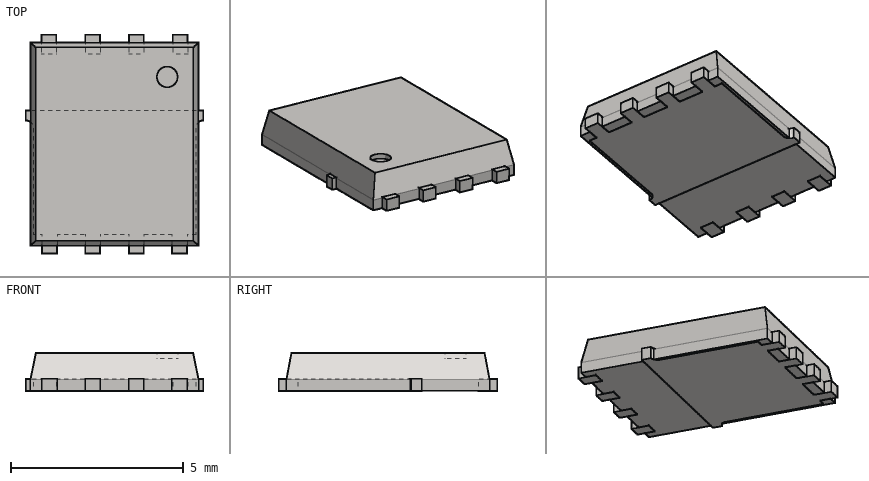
import cadquery as cq

overall_width = 5.15
overall_length = 6.35
overall_height = 1.11

housing_width = 4.88
housing_length = 5.9
housing_standoff = 0.01
ledge_height = 0.345
top_width = 4.57
top_length = 5.61

mark_diameter = 0.6
mark_depth = 0.15
mark_x = 1.53
mark_y = 1.95

metal_thickness = 0.36
lead_width = 0.44
lead_pitch = 1.27
lead_xs = [(i - 1.5) * lead_pitch for i in range(4)]
lead_inner_y = 2.62
lead_length = overall_length / 2 - lead_inner_y

pad_outer_lead_shift = 0.02
tab_front_y = 0.68
tab_back_y = 0.98
tab_fillet_radius = 0.2
tab_straight_tip = 0.02
pad_width = overall_width - 2 * (tab_straight_tip + tab_fillet_radius)


def block(width, length, x_centre, y_start):
    """Flat metal block on Z = 0, running toward +Y from y_start."""
    return (
        cq.Workplane("XY")
        .center(x_centre, y_start + length / 2)
        .rect(width, length)
        .extrude(metal_thickness)
    )


def make_lead(x_centre):
    """Separate lead on the +Y side."""
    return block(lead_width, lead_length, x_centre, lead_inner_y)


def make_drain_pad():
    """Pad with filleted side tabs flush with its +Y edge and leads on its -Y edge."""
    pad = block(pad_width, tab_back_y + lead_inner_y, 0, -lead_inner_y)
    tabs = block(overall_width, tab_back_y - tab_front_y, 0, tab_front_y)
    pad = pad.union(tabs)
    inner_corners = cq.selectors.BoxSelector(
        (-housing_width / 2, tab_front_y - tab_fillet_radius, 0),
        (housing_width / 2, tab_front_y + tab_fillet_radius, metal_thickness),
    )
    pad = pad.edges("|Z").edges(inner_corners).fillet(tab_fillet_radius)

    inner_xs = lead_xs[1:3]
    outer_xs = [lead_xs[0] + pad_outer_lead_shift, lead_xs[3] - pad_outer_lead_shift]
    for x_centre in inner_xs + outer_xs:
        pad = pad.union(block(lead_width, lead_length, x_centre, -overall_length / 2))
    return pad


def make_housing(metal_parts):
    """Tapered moulding with the pin-1 mark and recesses that fit the metal parts."""
    base = (
        cq.Workplane("XY", origin=(0, 0, housing_standoff))
        .rect(housing_width, housing_length)
        .extrude(ledge_height - housing_standoff)
    )
    tapered_top = (
        cq.Workplane("XY", origin=(0, 0, ledge_height))
        .rect(housing_width, housing_length)
        .workplane(offset=overall_height - ledge_height)
        .rect(top_width, top_length)
        .loft(ruled=True)
    )
    mark = (
        cq.Workplane("XY", origin=(mark_x, mark_y, overall_height - mark_depth))
        .circle(mark_diameter / 2)
        .extrude(mark_depth)
    )
    housing = base.union(tapered_top).cut(mark)
    for metal_part in metal_parts:
        housing = housing.cut(metal_part)
    return housing


leads = [make_lead(x_centre) for x_centre in lead_xs]
drain_pad = make_drain_pad()
housing = make_housing(leads + [drain_pad])

result = cq.Compound.makeCompound(
    [housing.solids().val(), drain_pad.solids().val(), *[lead.val() for lead in leads]]
)